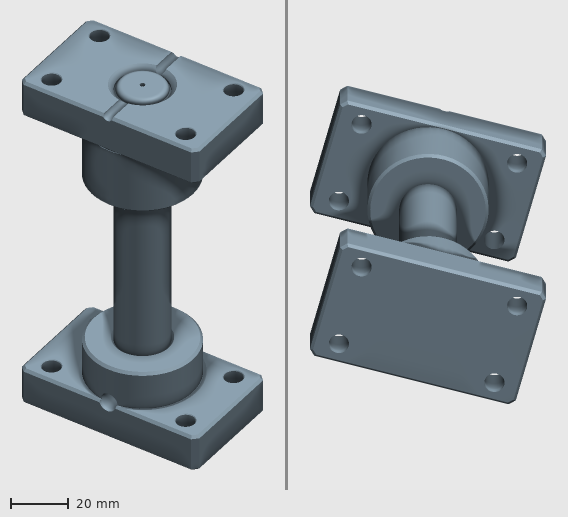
import cadquery as cq

overall_height = 140.2
plate_length = 74.0
plate_width = 44.0
plate_thickness = 15.0
corner_chamfer = 2.1
edge_chamfer = 1.0

screw_hole_diameter = 7.0
screw_spacing_x = 56.0
screw_spacing_y = 30.0
screw_hole_chamfer = 0.3

boss_diameter = 42.0
boss_edge_chamfer = 1.0
upper_boss_height = 25.0
lower_boss_height = 15.0
neck_diameter = 41.5
neck_height = 0.5

foot_groove_diameter = 44.6
foot_groove_depth = neck_height

pin_diameter = 20.0
pin_end_recess = 0.1
pin_tip_diameter = 18.6
pin_tip_height = 2.2
pin_tip_taper_height = 0.5
pin_tip_fillet = 2.0
center_hole_diameter = 2.0
center_hole_depth = 1.4

upper_bore_chamfer = 2.0
lower_bore_chamfer = 1.0

oil_groove_radius = 2.0
oil_hole_diameter = 6.7

upper_plate_bottom = overall_height - plate_thickness
upper_boss_bottom = upper_plate_bottom - upper_boss_height
lower_boss_top = plate_thickness + lower_boss_height
pin_top = overall_height - pin_end_recess


def make_cylinder(diameter, bottom_z, height):
    """Upright cylinder on the Z axis."""
    return cq.Workplane("XY").workplane(offset=bottom_z).circle(diameter / 2).extrude(height)


def make_cone(bottom_diameter, top_diameter, bottom_z, height):
    """Upright truncated cone on the Z axis."""
    base = cq.Vector(0, 0, bottom_z)
    return cq.Workplane(cq.Solid.makeCone(bottom_diameter / 2, top_diameter / 2, height, pnt=base))


def make_plate(bottom_z):
    """Rectangular plate with chamfered edges and four screw holes chamfered at the top."""
    plate = cq.Workplane("XY").box(
        plate_length, plate_width, plate_thickness, centered=(True, True, False)
    )
    plate = plate.edges("|Z").chamfer(corner_chamfer)
    plate = plate.faces("<Z or >Z").edges().chamfer(edge_chamfer)
    screw_holes = (
        cq.Workplane("XY")
        .rect(screw_spacing_x, screw_spacing_y, forConstruction=True)
        .vertices()
        .circle(screw_hole_diameter / 2)
        .extrude(plate_thickness)
    )
    plate = plate.cut(screw_holes)
    plate = plate.faces(">Z").edges("%CIRCLE").chamfer(screw_hole_chamfer)
    return plate.translate((0, 0, bottom_z))


def cut_bore(housing, bottom_z, top_z, mouth_chamfer):
    """Cut a through bore for the pin, countersunk at its upper mouth."""
    mouth_diameter = pin_diameter + 2 * mouth_chamfer
    bore = make_cylinder(pin_diameter, bottom_z, top_z - bottom_z)
    mouth = make_cone(pin_diameter, mouth_diameter, top_z - mouth_chamfer, mouth_chamfer)
    return housing.cut(bore).cut(mouth)


def make_upper_housing():
    """Upper plate with a boss hanging below it and an oil groove across the top."""
    boss = make_cylinder(boss_diameter, upper_boss_bottom, upper_boss_height - neck_height)
    boss = boss.faces("<Z").chamfer(boss_edge_chamfer)
    neck = make_cylinder(neck_diameter, upper_plate_bottom - neck_height, neck_height)
    housing = make_plate(upper_plate_bottom).union(neck).union(boss)
    housing = cut_bore(housing, upper_boss_bottom, overall_height, upper_bore_chamfer)
    oil_groove = (
        cq.Workplane("XZ", origin=(0, 0, overall_height))
        .circle(oil_groove_radius)
        .extrude(plate_width, both=True)
    )
    return housing.cut(oil_groove)


def make_lower_housing():
    """Lower plate with a grooved boss standing on it and an oil hole from the -Y side to the bore."""
    groove_floor = plate_thickness - foot_groove_depth
    foot_groove = make_cone(boss_diameter, foot_groove_diameter, groove_floor, foot_groove_depth)
    foot = make_cylinder(neck_diameter, groove_floor, foot_groove_depth)
    boss = make_cylinder(boss_diameter, plate_thickness, lower_boss_height)
    boss = boss.faces(">Z").chamfer(boss_edge_chamfer)
    housing = make_plate(0).cut(foot_groove).union(foot).union(boss)
    housing = cut_bore(housing, 0, lower_boss_top, lower_bore_chamfer)
    oil_hole = (
        cq.Workplane("XZ", origin=(0, 0, plate_thickness))
        .circle(oil_hole_diameter / 2)
        .extrude(plate_width / 2)
    )
    return housing.cut(oil_hole)


def make_pin():
    """Pin with a tapered shoulder, a rounded tip and a small center hole at its upper end."""
    tip_base = pin_top - pin_tip_height
    shoulder = tip_base - pin_tip_taper_height
    shank = make_cylinder(pin_diameter, 0, shoulder)
    taper = make_cone(pin_diameter, pin_tip_diameter, shoulder, pin_tip_taper_height)
    tip = make_cylinder(pin_tip_diameter, tip_base, pin_tip_height).faces(">Z").fillet(pin_tip_fillet)
    center_hole = make_cylinder(center_hole_diameter, pin_top - center_hole_depth, center_hole_depth)
    return shank.union(taper).union(tip).cut(center_hole)


upper_housing = make_upper_housing().solids()
lower_housing = make_lower_housing().solids()
pin = make_pin().solids()

result = cq.Compound.makeCompound([upper_housing.val(), lower_housing.val(), pin.val()])